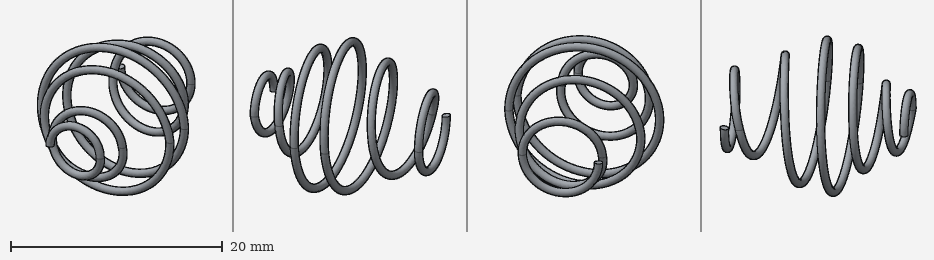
import cadquery as cq
import math

spring_length = 17.78
wire_radius = 0.4
end_y = spring_length / 2 - wire_radius

front_radius = 2.65
shoulder_radius = 3.55
belly_radius = 7.15
back_radius = 3.72

flat_turns = 0.5
shoulder_turn = 1.0
belly_start_turn = 2.0
belly_end_turn = 3.0
taper_end_turn = 4.5
back_flat_turn = 5.0

front_pitch = 2.63
shoulder_pitch = 3.02
belly_start_pitch = 2.75
belly_end_pitch = 3.38
back_flat_pitch = 0.0
front_rise = (front_pitch + shoulder_pitch) / 2 * shoulder_turn
shoulder_rise = (shoulder_pitch + belly_start_pitch) / 2 * (belly_start_turn - shoulder_turn)
belly_rise = (belly_start_pitch + belly_end_pitch) / 2 * (belly_end_turn - belly_start_turn)
back_rise = 2 * end_y - front_rise - shoulder_rise - belly_rise

taper_turns = taper_end_turn - belly_end_turn
closing_turns = back_flat_turn - taper_end_turn
steepest_pitch = (
    2 * back_rise - belly_end_pitch * taper_turns - back_flat_pitch * closing_turns
) / (taper_turns + closing_turns)

pitch_stations = [
    (0.0, front_pitch),
    (shoulder_turn, shoulder_pitch),
    (belly_start_turn, belly_start_pitch),
    (belly_end_turn, belly_end_pitch),
    (taper_end_turn, steepest_pitch),
    (back_flat_turn, back_flat_pitch),
]

points_per_section = 12
tangent_step = 0.0001


def axial_position(turn):
    """Y of the wire centre: the integral of the linearly varying pitch."""
    y = -end_y
    for (start, start_pitch), (stop, stop_pitch) in zip(pitch_stations, pitch_stations[1:]):
        run = min(max(turn - start, 0.0), stop - start)
        pitch_slope = (stop_pitch - start_pitch) / (stop - start)
        y += start_pitch * run + pitch_slope * run**2 / 2
    return y


radius_stations = [
    (-end_y, front_radius),
    (axial_position(shoulder_turn), shoulder_radius),
    (axial_position(belly_start_turn), belly_radius),
    (axial_position(belly_end_turn), belly_radius),
    (axial_position(taper_end_turn), back_radius),
    (end_y, back_radius),
]


def coil_radius(y):
    """Radius of the wire centre: a stack of cones and cylinders along Y."""
    for (start, start_radius), (stop, stop_radius) in zip(radius_stations, radius_stations[1:]):
        if y <= stop:
            return start_radius + (stop_radius - start_radius) * (y - start) / (stop - start)
    return back_radius


def wire_centre(turn):
    """Point on the winding, which runs clockwise from +X as seen from the front."""
    y = axial_position(turn)
    radius = coil_radius(y)
    angle = 2 * math.pi * turn
    return cq.Vector(radius * math.cos(angle), y, -radius * math.sin(angle))


def wire_direction(start, stop):
    """Direction of the winding on leaving one turn towards another."""
    step = math.copysign(tangent_step, stop - start)
    return (wire_centre(start + step) - wire_centre(start)) * (1 / step)


def winding_section(start, stop):
    """Centreline between two stations, starting and ending in the winding's own direction."""
    step = (stop - start) / points_per_section
    turns = [start + index * step for index in range(points_per_section + 1)]
    return cq.Edge.makeSpline(
        [wire_centre(turn) for turn in turns],
        tangents=[wire_direction(start, stop), wire_direction(stop, start)],
        parameters=turns,
        scale=False,
    )


def flat_coil(start):
    """Half-circle end coil square to the Y axis."""
    return cq.Edge.makeThreePointArc(
        wire_centre(start), wire_centre(start + flat_turns / 2), wire_centre(start + flat_turns)
    )


section_turns = [0.0, shoulder_turn, belly_start_turn, belly_end_turn, taper_end_turn, back_flat_turn]
active_coils = [winding_section(start, stop) for start, stop in zip(section_turns, section_turns[1:])]
centreline = cq.Wire.assembleEdges([flat_coil(-flat_turns), *active_coils, flat_coil(back_flat_turn)])

spring_axis = cq.Workplane("XY").moveTo(0, -spring_length / 2).lineTo(0, spring_length / 2)
result = (
    cq.Workplane("XY", origin=wire_centre(-flat_turns).toTuple())
    .circle(wire_radius)
    .sweep(cq.Workplane(centreline), auxSpine=spring_axis, transition="transformed")
)